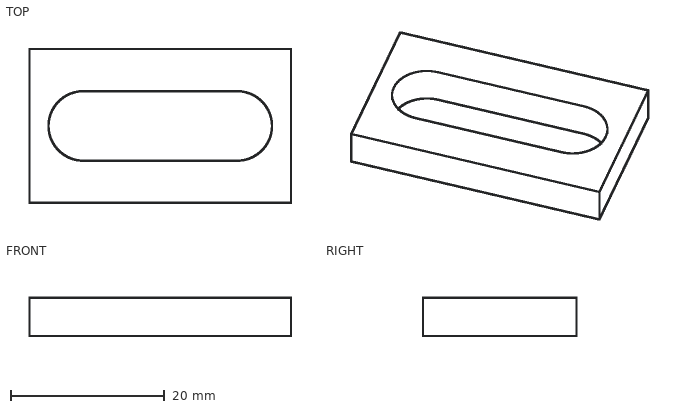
import cadquery as cq

plate_length = 34.0
plate_width = 20.0
plate_thickness = 5.0

slot_length = 29.0
slot_width = 9.0

plate = cq.Workplane("XY").box(plate_length, plate_width, plate_thickness)

result = plate.faces(">Z").workplane().slot2D(slot_length, slot_width).cutThruAll()